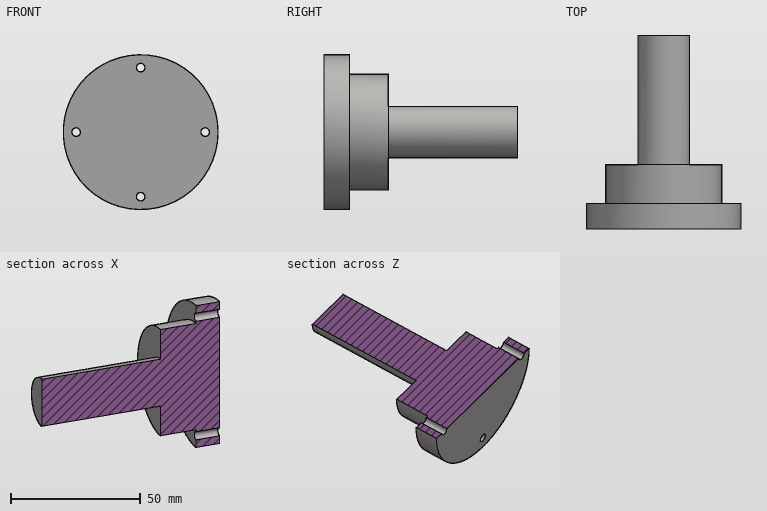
import cadquery as cq

total_length = 75.0
flange_thickness = 10.0
boss_length = 15.0
shaft_length = total_length - flange_thickness - boss_length

flange_diameter = 60.0
boss_diameter = 45.0
shaft_diameter = 20.0

hole_diameter = 3.2
hole_circle_radius = 25.0
hole_count = 4


def cylinder_along_y(start, length, diameter):
    """Solid cylinder on the Y axis, running from start toward +Y."""
    plane = cq.Workplane("XZ", origin=(0, start, 0))
    return plane.circle(diameter / 2).extrude(-length)


def mounting_holes():
    """Cutters for the evenly spaced flange holes."""
    return (
        cq.Workplane("XZ")
        .polarArray(hole_circle_radius, 0, 360, hole_count)
        .circle(hole_diameter / 2)
        .extrude(-flange_thickness)
    )


flange = cylinder_along_y(0, flange_thickness, flange_diameter)
boss = cylinder_along_y(flange_thickness, boss_length, boss_diameter)
shaft = cylinder_along_y(flange_thickness + boss_length, shaft_length, shaft_diameter)

result = flange.union(boss).union(shaft).cut(mounting_holes())